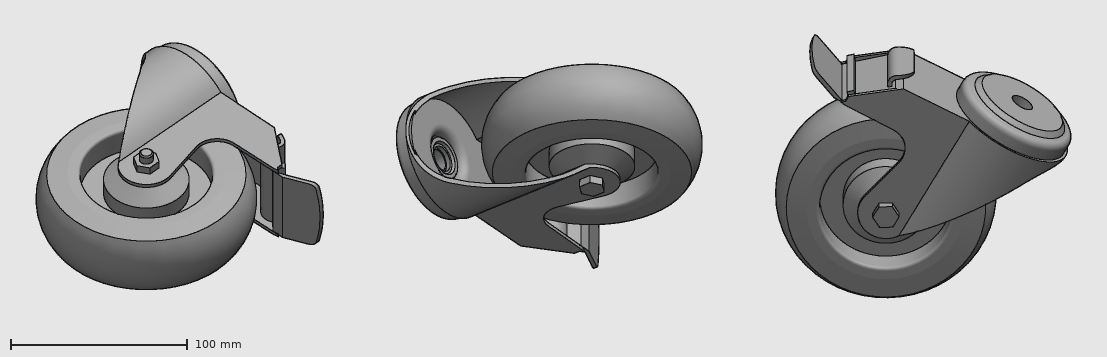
import cadquery as cq
import math

swivel_offset = 40.0
sheet_top = 73.75
cap_thickness = 2.75
cap_underside = sheet_top - cap_thickness

wheel_radius = 62.5
tread_edge_radius = 56.4
tread_edge_z = 18.5
rim_outer_radius = 44.5
rim_face_z = 20.0
rim_bore_radius = 37.5
rim_lip_radius = 1.8
web_half_thickness = 4.5
hub_radius = 24.25
hub_shoulder_z = 14.7
hub_end_radius = 11.4

fork_wall_radius = 36.75
plate_inner_z = 23.0
plate_thickness = 2.25
plate_outer_z = plate_inner_z + plate_thickness
leg_radius = 16.0
throat_center = (22.3, 34.6)
throat_radius = 13.7
front_edge_foot = (-13.7, -8.27)
front_edge_bend = (-57.9, 57.3)
slope_start = (29.2, sheet_top)
nose_top = (54.1, 54.6)
nose_waist = (54.1, 51.0)
nose_tip = (56.3, 49.4)
nose_bottom = (53.1, 48.8)

head_radius = 35.0
head_top = 87.5
head_fillet = 4.0
shoulder_y = 84.0
collar_y = 84.6
collar_radius = 29.0
crown_radius = 26.0

socket_radius = 13.5
socket_lip_fillet = 5.5
bearing_ring_outer = 12.5
bearing_ring_inner = 10.0
bearing_ring_rise = 1.7
bushing_face_depth = 5.3
bushing_radius = 9.0
counterbore_radius = 7.5
counterbore_depth = 8.0
bolt_hole_radius = 6.5

axle_radius = 4.0
axle_top_z = 35.3
axle_chamfer = 0.8
nut_flats = 13.0
nut_height = 4.75

brake_thickness = 2.5
ramp_top = (27.9, cap_underside)
ramp_foot = (52.7, 48.8)
pedal_bend = (60.1, 48.8)
pedal_angle = math.radians(23.3)
pedal_tip_x = 81.05
pedal_corner_x = 78.1
pedal_fillet = 4.0
bulge_start = (33.4, 66.06)
bulge_end = (46.8, 54.08)
bulge_height = 6.05
hook_center = (31.8, 71.4)
hook_inner_radius = 3.2
hook_fall = math.radians(30)
hook_root_angle = math.radians(-55)
hook_straight = 9.6
hook_half_width = 18.0
hook_fillet = 9.0
stop_length = 4.0
stop_height = 7.2
stop_distance = 27.0


def point_from(origin, along, distance, across=0.0):
    """Point at `distance` along unit vector `along` and `across` to its left."""
    return (
        origin[0] + distance * along[0] - across * along[1],
        origin[1] + distance * along[1] + across * along[0],
    )


def line_crossing(p, u, q, v):
    """Crossing point of the line through p along u and the line through q along v."""
    cross = u[0] * v[1] - u[1] * v[0]
    t = ((q[0] - p[0]) * v[1] - (q[1] - p[1]) * v[0]) / cross
    return (p[0] + t * u[0], p[1] + t * u[1])


def quarter_arc_inset(radius):
    """Distance from both tangent lines of a quarter arc to its middle point."""
    return radius * (1 - math.sqrt(0.5))


def extrude_across(profile, half_width):
    """Sweep an XY profile along Z, symmetric about the wheel's middle plane."""
    return profile.extrude(half_width, both=True)


def cylinder_y(radius, bottom, top):
    """Cylinder about the swivel axis between two Y levels."""
    return (
        cq.Workplane("XZ", origin=(-swivel_offset, bottom, 0))
        .circle(radius)
        .extrude(bottom - top)
    )


def make_wheel():
    """Tyre, rim, web and hub, turned about the axle."""
    body = (
        cq.Workplane("XZ")
        .moveTo(0, -rim_face_z)
        .lineTo(rim_outer_radius, -rim_face_z)
        .lineTo(tread_edge_radius, -tread_edge_z)
        .threePointArc((wheel_radius, 0), (tread_edge_radius, tread_edge_z))
        .lineTo(rim_outer_radius, rim_face_z)
        .lineTo(0, rim_face_z)
        .close()
        .revolve(360, (0, 0, 0), (0, 1, 0))
    )
    inset = quarter_arc_inset(rim_lip_radius)
    recess = (
        cq.Workplane("XZ")
        .moveTo(0, web_half_thickness)
        .lineTo(rim_bore_radius, web_half_thickness)
        .lineTo(rim_bore_radius, rim_face_z - rim_lip_radius)
        .threePointArc(
            (rim_bore_radius + inset, rim_face_z - inset),
            (rim_bore_radius + rim_lip_radius, rim_face_z),
        )
        .lineTo(0, rim_face_z)
        .close()
        .revolve(360, (0, 0, 0), (0, 1, 0))
    )
    hub = (
        cq.Workplane("XZ")
        .moveTo(0, 0)
        .lineTo(hub_radius, 0)
        .lineTo(hub_radius, hub_shoulder_z)
        .lineTo(hub_end_radius, plate_inner_z)
        .lineTo(0, plate_inner_z)
        .close()
        .revolve(360, (0, 0, 0), (0, 1, 0))
    )
    wheel = body.cut(recess).cut(recess.mirror("XY"))
    return wheel.union(hub).union(hub.mirror("XY"))


def make_side_outline():
    """Fork outline in the XY plane, extruded wider than the fork."""
    distance = math.hypot(*throat_center)
    throat_direction = math.atan2(throat_center[1], throat_center[0])
    tangent_angle = throat_direction - math.acos((leg_radius + throat_radius) / distance)
    normal = (math.cos(tangent_angle), math.sin(tangent_angle))
    leg_tangent = (leg_radius * normal[0], leg_radius * normal[1])
    throat_tangent = (
        throat_center[0] - throat_radius * normal[0],
        throat_center[1] - throat_radius * normal[1],
    )
    throat_top = (throat_center[0], throat_center[1] + throat_radius)
    throat_mid_angle = (math.pi / 2 + tangent_angle + math.pi) / 2
    throat_mid = (
        throat_center[0] + throat_radius * math.cos(throat_mid_angle),
        throat_center[1] + throat_radius * math.sin(throat_mid_angle),
    )
    return (
        cq.Workplane("XY")
        .moveTo(*front_edge_foot)
        .lineTo(*front_edge_bend)
        .tangentArcPoint((-swivel_offset - fork_wall_radius, sheet_top), relative=False)
        .lineTo(*slope_start)
        .lineTo(*nose_top)
        .lineTo(*nose_waist)
        .lineTo(*nose_tip)
        .lineTo(*nose_bottom)
        .lineTo(*throat_top)
        .threePointArc(throat_mid, throat_tangent)
        .lineTo(*leg_tangent)
        .threePointArc((0, -leg_radius), front_edge_foot)
        .close()
        .extrude(fork_wall_radius, both=True)
    )


def make_plan(radius, half_width, top):
    """Keyhole-shaped block: round at the swivel, straight towards +X, below a Y level."""
    bottom = -leg_radius
    straight = cq.Workplane("XY").box(
        nose_tip[0] + swivel_offset, top - bottom, 2 * half_width, centered=(False, False, True)
    )
    straight = straight.translate((-swivel_offset, bottom, 0))
    return cylinder_y(radius, bottom, top).union(straight)


def make_fork():
    """Sheet fork: cap, round wall and two side plates, trimmed to the side outline."""
    outer = make_plan(fork_wall_radius, plate_outer_z, sheet_top)
    inner = make_plan(fork_wall_radius - cap_thickness, plate_inner_z, cap_underside)
    return outer.cut(inner).intersect(make_side_outline())


def make_head():
    """Swivel head, turned about the swivel axis."""
    inset = quarter_arc_inset(head_fillet)
    return (
        cq.Workplane("XY", origin=(-swivel_offset, 0, 0))
        .moveTo(0, cap_underside)
        .lineTo(head_radius, cap_underside)
        .lineTo(head_radius, shoulder_y - head_fillet)
        .threePointArc(
            (head_radius - inset, shoulder_y - inset),
            (head_radius - head_fillet, shoulder_y),
        )
        .lineTo(collar_radius, collar_y)
        .lineTo(crown_radius, head_top)
        .lineTo(0, head_top)
        .close()
        .revolve(360, (0, 0, 0), (0, 1, 0))
    )


def make_socket():
    """Cutter for the rolled-in socket, bearing ring and bolt hole in the swivel head."""
    lip = socket_lip_fillet
    floor = cap_underside + lip
    bushing_face = cap_underside + bushing_face_depth
    seat = cap_underside + counterbore_depth
    ring_face = floor - bearing_ring_rise
    inset = quarter_arc_inset(lip)
    return (
        cq.Workplane("XY", origin=(-swivel_offset, 0, 0))
        .moveTo(0, cap_underside)
        .lineTo(socket_radius + lip, cap_underside)
        .threePointArc((socket_radius + inset, cap_underside + inset), (socket_radius, floor))
        .lineTo(bearing_ring_outer, floor)
        .lineTo(bearing_ring_outer, ring_face)
        .lineTo(bearing_ring_inner, ring_face)
        .lineTo(bushing_radius, bushing_face)
        .lineTo(counterbore_radius, bushing_face)
        .lineTo(counterbore_radius, seat)
        .lineTo(bolt_hole_radius, seat)
        .lineTo(bolt_hole_radius, head_top)
        .lineTo(0, head_top)
        .close()
        .revolve(360, (0, 0, 0), (0, 1, 0))
    )


def make_axle():
    """Axle bolt with a hexagon against each side plate."""
    shaft = (
        cq.Workplane("XY", origin=(0, 0, -plate_outer_z))
        .circle(axle_radius)
        .extrude(axle_top_z + plate_outer_z)
        .faces(">Z")
        .chamfer(axle_chamfer)
    )
    nut = (
        cq.Workplane("XY")
        .polygon(6, nut_flats / math.cos(math.pi / 6))
        .extrude(nut_height)
        .rotate((0, 0, 0), (0, 0, 1), 90)
        .translate((0, 0, plate_outer_z))
    )
    return shaft.union(nut).union(nut.mirror("XY"))


ramp_length = math.dist(ramp_top, ramp_foot)
ramp_along = (
    (ramp_foot[0] - ramp_top[0]) / ramp_length,
    (ramp_foot[1] - ramp_top[1]) / ramp_length,
)


def make_pedal():
    """Ramp sheet with its round bulge, running on into the foot pedal."""
    along = (math.cos(pedal_angle), math.sin(pedal_angle))
    pedal_length = (pedal_tip_x - pedal_bend[0]) / along[0] + brake_thickness
    ramp_top_outer = point_from(ramp_top, ramp_along, 0, brake_thickness)
    pedal_upper = point_from(pedal_bend, along, 0, brake_thickness)
    inner_corner = line_crossing(ramp_top_outer, ramp_along, pedal_upper, along)
    bulge_middle = (
        (bulge_start[0] + bulge_end[0]) / 2,
        (bulge_start[1] + bulge_end[1]) / 2,
    )
    profile = (
        cq.Workplane("XY")
        .moveTo(*ramp_top)
        .lineTo(*bulge_start)
        .threePointArc(point_from(bulge_middle, ramp_along, 0, -bulge_height), bulge_end)
        .lineTo(*ramp_foot)
        .lineTo(*pedal_bend)
        .lineTo(*point_from(pedal_bend, along, pedal_length))
        .lineTo(*point_from(pedal_bend, along, pedal_length, brake_thickness))
        .lineTo(*inner_corner)
        .lineTo(*ramp_top_outer)
        .close()
    )
    plan = (
        cq.Workplane("XZ")
        .moveTo(ramp_top[0], -plate_inner_z)
        .lineTo(pedal_corner_x, -plate_inner_z)
        .threePointArc((pedal_tip_x, 0), (pedal_corner_x, plate_inner_z))
        .lineTo(ramp_top[0], plate_inner_z)
        .close()
        .extrude(-head_top)
        .edges("|Y").edges(">X")
        .fillet(pedal_fillet)
    )
    return extrude_across(profile, plate_inner_z).intersect(plan)


def make_hook():
    """Release tab: a strip curling up from the ramp and ending in a straight tongue."""
    outer_radius = hook_inner_radius + brake_thickness
    start = math.pi / 2 - hook_fall
    end = hook_root_angle
    middle = (start + end) / 2

    def polar(radius, angle):
        return point_from(hook_center, (math.cos(angle), math.sin(angle)), radius)

    tongue = (-math.cos(hook_fall), math.sin(hook_fall))
    profile = (
        cq.Workplane("XY")
        .moveTo(*point_from(polar(hook_inner_radius, start), tongue, hook_straight))
        .lineTo(*polar(hook_inner_radius, start))
        .threePointArc(polar(hook_inner_radius, middle), polar(hook_inner_radius, end))
        .lineTo(*polar(outer_radius, end))
        .threePointArc(polar(outer_radius, middle), polar(outer_radius, start))
        .lineTo(*point_from(polar(outer_radius, start), tongue, hook_straight))
        .close()
    )
    tip_x = point_from(polar(hook_inner_radius, start), tongue, hook_straight)[0]
    root_x = hook_center[0] + outer_radius
    plan = (
        cq.Workplane("XZ")
        .moveTo(tip_x, -hook_half_width)
        .lineTo(root_x, -hook_half_width)
        .lineTo(root_x, hook_half_width)
        .lineTo(tip_x, hook_half_width)
        .close()
        .extrude(-head_top)
        .edges("|Y").edges("<X")
        .fillet(hook_fillet)
    )
    return extrude_across(profile, hook_half_width).intersect(plan)


def make_stop():
    """Block across the brake, standing on the outer face of the ramp."""
    half_thickness = brake_thickness / 2
    near = stop_distance
    far = stop_distance + stop_length
    profile = cq.Workplane("XY").polyline(
        [
            point_from(ramp_top, ramp_along, near, half_thickness),
            point_from(ramp_top, ramp_along, far, half_thickness),
            point_from(ramp_top, ramp_along, far, stop_height),
            point_from(ramp_top, ramp_along, near, stop_height),
        ]
    ).close()
    return extrude_across(profile, plate_inner_z)


result = (
    make_fork()
    .union(make_head())
    .cut(make_socket())
    .union(make_wheel())
    .union(make_axle())
    .union(make_pedal())
    .union(make_hook())
    .union(make_stop())
)